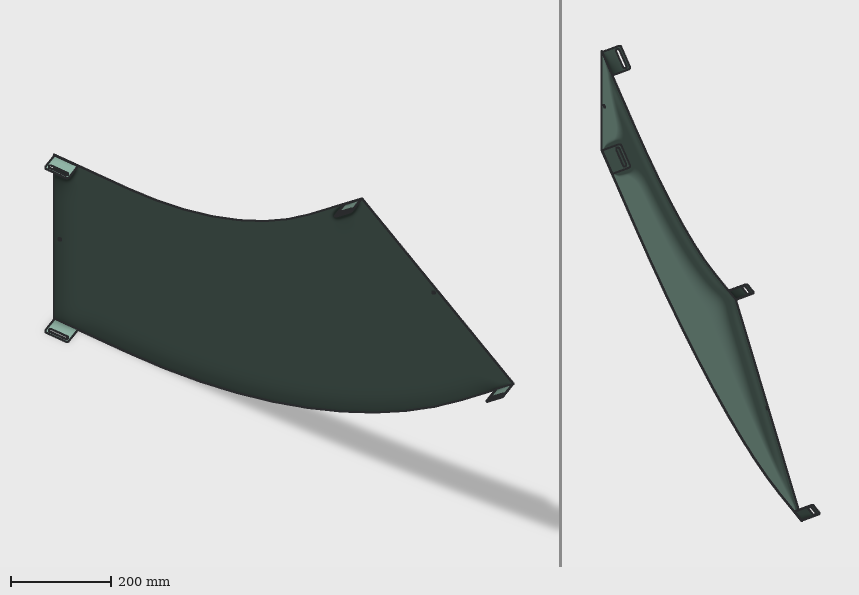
import cadquery as cq
import math


overall_length = 1073.0
sheet_width = 501.0
sheet_thickness = 1.5
bend_angle = 45.0
inner_radius = 600.0
outer_radius = inner_radius + sheet_width

sin_bend = math.sin(math.radians(bend_angle))
cos_bend = math.cos(math.radians(bend_angle))
straight_length = (overall_length - outer_radius * sin_bend) / (1 + cos_bend)
bend_centre_x = straight_length
bend_centre_z = outer_radius

hole_diameter = 6.3
hole_inset = 14.0

tab_length = 55.0
tab_height = 41.0
tab_thickness = sheet_thickness
tab_inset = 2.0
tab_corner_radius = 4.0

slot_length = 44.0
slot_width = 7.0
slot_edge_distance = 10.0


def bend_point(radius, angle, run=0.0):
    """Point at an angle round the bend, moved along the tangent by run."""
    turn = math.radians(angle)
    x = bend_centre_x + radius * math.sin(turn) + run * math.cos(turn)
    z = bend_centre_z - radius * math.cos(turn) + run * math.sin(turn)
    return (x, z)


def make_sheet():
    half_bend = bend_angle / 2
    return (
        cq.Workplane("XZ")
        .moveTo(0, 0)
        .lineTo(*bend_point(outer_radius, 0))
        .threePointArc(bend_point(outer_radius, half_bend), bend_point(outer_radius, bend_angle))
        .lineTo(*bend_point(outer_radius, bend_angle, straight_length))
        .lineTo(*bend_point(inner_radius, bend_angle, straight_length))
        .lineTo(*bend_point(inner_radius, bend_angle))
        .threePointArc(bend_point(inner_radius, half_bend), bend_point(inner_radius, 0))
        .lineTo(0, sheet_width)
        .close()
        .extrude(sheet_thickness)
    )


def make_tab(base_z):
    """Slotted tab on the straight run at the start, its lower face at base_z."""
    tab_centre_x = tab_inset + tab_length / 2
    tab = (
        cq.Workplane("XY", origin=(tab_centre_x, -tab_height / 2, base_z))
        .rect(tab_length, tab_height)
        .extrude(tab_thickness)
        .edges("|Z and <Y")
        .fillet(tab_corner_radius)
    )
    slot = (
        cq.Workplane("XY", origin=(tab_centre_x, slot_edge_distance - tab_height, base_z))
        .slot2D(slot_length, slot_width)
        .extrude(tab_thickness)
    )
    return tab.cut(slot)


def make_hole_cutter():
    """Screw hole on the centre line at the start."""
    return (
        cq.Workplane("XZ")
        .center(hole_inset, sheet_width / 2)
        .circle(hole_diameter / 2)
        .extrude(sheet_thickness)
    )


def at_far_end(body):
    """Mirror image of a start feature, carried round to the other end of the bend."""
    mirrored = body.mirror("YZ", (bend_centre_x, 0, 0))
    pivot = (bend_centre_x, 0, bend_centre_z)
    axis_end = (bend_centre_x, 1, bend_centre_z)
    return mirrored.rotate(pivot, axis_end, -bend_angle)


result = make_sheet()
for tab_base_z in (0, sheet_width - tab_thickness):
    side_tab = make_tab(tab_base_z)
    result = result.union(side_tab).union(at_far_end(side_tab))

hole_cutter = make_hole_cutter()
result = result.cut(hole_cutter).cut(at_far_end(hole_cutter))